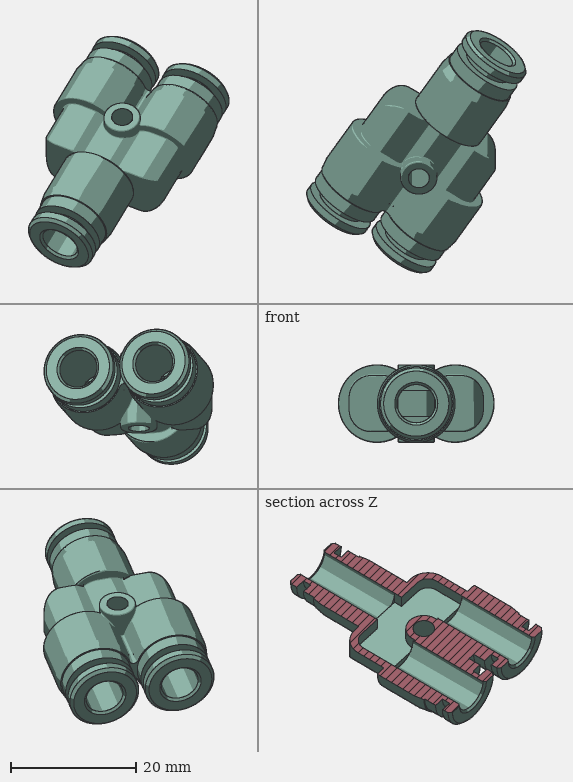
import cadquery as cq
import math

length = 38.2
port_pitch = 12.5
front_end = -length / 2
rear_end = length / 2

body_diameter = 12.4
taper_diameter = 11.85
collar_diameter = 11.42
neck_diameter = 7.9
bore_diameter = 6.1

flange_depth = 1.68
neck_depth = 3.05
collar_depth = 5.27
taper_depth = 6.95
body_depth = 14.7
flange_chamfer = 0.5
bore_chamfer = 0.4

lobe_size = 8.98
lobe_corner_radius = 3.5
plan_corner_radius = 3.5
block_front = front_end + body_depth
block_rear = rear_end - body_depth
block_width = port_pitch + lobe_size
groove_x = port_pitch / 4

boss_diameter = 5.8
boss_hole_diameter = 3.35
boss_depth = 15.05
boss_y = rear_end - boss_depth

web_radius = 0.42
web_end_radius = 0.73
chamber_height = 4.13
chamber_width = port_pitch + bore_diameter

edge_radius = 0.23
blend_radius = 0.2
groove_radius = 0.23
boss_root_radius = 0.15
taper_edge_radius = 0.75

margin = 0.05
plate_thickness = 0.4
plate_width = 2 * block_width
plate_height = 2 * lobe_size


def make_port():
    """Port turned about Y, open end at y = 0, running toward +Y."""
    collar_radius = collar_diameter / 2
    neck_radius = neck_diameter / 2
    body_radius = body_diameter / 2
    shoulder_edge = cq.selectors.BoxSelector(
        (-body_diameter, taper_depth - margin, -body_diameter),
        (body_diameter, taper_depth + margin, body_diameter),
        boundingbox=True,
    )
    return (
        cq.Workplane("XY")
        .lineTo(collar_radius - flange_chamfer, 0)
        .lineTo(collar_radius, flange_chamfer)
        .lineTo(collar_radius, flange_depth)
        .lineTo(neck_radius, flange_depth)
        .lineTo(neck_radius, neck_depth)
        .lineTo(collar_radius, neck_depth)
        .lineTo(collar_radius, collar_depth)
        .lineTo(taper_diameter / 2, collar_depth)
        .lineTo(body_radius, taper_depth)
        .lineTo(body_radius, body_depth)
        .lineTo(0, body_depth)
        .close()
        .revolve(360, (0, 0, 0), (0, 1, 0))
        .faces(">Y")
        .edges()
        .fillet(edge_radius)
        .edges(shoulder_edge)
        .fillet(taper_edge_radius)
    )


def make_bore():
    """Chamfered blind bore about Y, mouth at y = 0, running toward +Y."""
    bore_radius = bore_diameter / 2
    return (
        cq.Workplane("XY")
        .lineTo(bore_radius + bore_chamfer, 0)
        .lineTo(bore_radius, bore_chamfer)
        .lineTo(bore_radius, body_depth)
        .lineTo(0, body_depth)
        .close()
        .revolve(360, (0, 0, 0), (0, 1, 0))
    )


def place_at_ports(shape):
    """Copies of a port-shaped solid at the front port and both rear ports."""
    placed = shape.translate((0, front_end, 0))
    turned = shape.rotate((0, 0, 0), (0, 0, 1), 180)
    for side in (-1, 1):
        placed = placed.add(turned.translate((side * port_pitch / 2, rear_end, 0)))
    return placed.combine()


def span_box(width, y_start, y_end, height):
    """Box centred on X and Z between two Y stations."""
    return (
        cq.Workplane("XY")
        .box(width, y_end - y_start, height)
        .translate((0, (y_start + y_end) / 2, 0))
    )


def boss_cylinder(diameter):
    """Cylinder along Z at the boss, as tall as the port bodies."""
    return (
        cq.Workplane("XY")
        .center(0, boss_y)
        .circle(diameter / 2)
        .extrude(body_diameter / 2, both=True)
    )


def make_side_lobe(side):
    """Outer lobe with its outer front corner rounded in plan and its front edges softened."""
    outer_face = ">X" if side > 0 else "<X"
    lobe = span_box(lobe_size, block_front, block_rear, lobe_size)
    plan = lobe.edges("|Z and <Y").edges(outer_face).fillet(plan_corner_radius)
    lobe = lobe.edges("|Y").fillet(lobe_corner_radius).intersect(plan)
    lobe = lobe.faces("<Y").edges().fillet(edge_radius)
    return lobe.translate((side * port_pitch / 2, 0, 0))


def make_lobe_bar():
    """Three merged straight lobes with blended grooves, flared at both ends to meet the ports."""
    bar = cq.Workplane("XY")
    for side in (-1, 0, 1):
        lobe = span_box(lobe_size, block_front, block_rear, lobe_size)
        lobe = lobe.edges("|Y").fillet(lobe_corner_radius)
        bar = bar.union(lobe.translate((side * port_pitch / 2, 0, 0)))
    for side in (-1, 1):
        for level in (-1, 1):
            groove = cq.selectors.BoxSelector(
                (side * (groove_x - margin), block_front - margin, 0),
                (side * (groove_x + margin), block_rear + margin, level * lobe_size),
            )
            bar = bar.edges("|Y").edges(groove).fillet(groove_radius)

    for start, end in (
        (block_front - plate_thickness, block_front),
        (block_rear, block_rear + plate_thickness),
    ):
        bar = bar.union(span_box(plate_width, start, end, plate_height))
    roots = cq.selectors.BoxSelector(
        (-block_width / 2 - margin, block_front - margin, -lobe_size / 2 - margin),
        (block_width / 2 + margin, block_rear + margin, lobe_size / 2 + margin),
        boundingbox=True,
    )
    bar = bar.edges(roots).edges("not |Y").fillet(blend_radius)
    return bar.intersect(span_box(plate_width, block_front, block_rear, plate_height))


def make_block():
    """Lobe bar trimmed to the softened outer lobes, keeping its center and its rear flare."""
    center_width = 2 * (groove_x + groove_radius)
    envelope = span_box(center_width, block_front, block_rear, plate_height)
    rear_flare = span_box(plate_width, block_rear - blend_radius, block_rear, plate_height)
    envelope = envelope.union(rear_flare)
    for side in (-1, 1):
        envelope = envelope.union(make_side_lobe(side))
    return make_lobe_bar().intersect(envelope)


def web_section(y, port_radius, radius):
    """Web section at a Y station: a strip hollowed above and below by arcs touching both ports."""
    half_pitch = port_pitch / 2
    reach = port_radius + radius
    arc_height = math.sqrt(reach**2 - half_pitch**2)
    half_width = half_pitch * radius / reach
    edge_height = arc_height * port_radius / reach
    valley_height = arc_height - radius
    return (
        cq.Workplane("XZ", origin=(0, y, 0))
        .moveTo(-half_width, edge_height)
        .threePointArc((0, valley_height), (half_width, edge_height))
        .lineTo(half_width, -edge_height)
        .threePointArc((0, -valley_height), (-half_width, -edge_height))
        .close()
        .wire()
        .val()
    )


def make_web():
    """Concave web between the rear ports, widening along their tapers."""
    taper_y = rear_end - taper_depth
    at_block = web_section(block_rear, body_diameter / 2, web_radius)
    at_taper = web_section(taper_y, body_diameter / 2, web_radius)
    at_end = web_section(rear_end - collar_depth, taper_diameter / 2, web_end_radius)
    straight = cq.Solid.makeLoft([at_block, at_taper], True)
    widening = cq.Solid.makeLoft([at_taper, at_end], True)
    return cq.Workplane(straight).union(cq.Workplane(widening))


def add_boss(body):
    """Body with the boss joined on and blended into it above and below."""
    boss = boss_cylinder(boss_diameter).faces("<Z or >Z").edges().fillet(edge_radius)
    body = body.union(boss)
    reach = boss_diameter / 2 + margin
    root_limit = body_diameter / 2 - edge_radius - margin
    for level in (-1, 1):
        roots = cq.selectors.BoxSelector(
            (-reach, boss_y - reach, 0),
            (reach, boss_y + reach, level * root_limit),
            boundingbox=True,
        )
        body = body.edges(roots).fillet(boss_root_radius)
    return body


body = make_block().union(place_at_ports(make_port())).union(make_web())
body = add_boss(body)

wall = (lobe_size - bore_diameter) / 2
chamber = (
    span_box(chamber_width, block_front + wall, block_rear, chamber_height)
    .edges("|Z and <Y")
    .fillet(plan_corner_radius - wall)
)
inlet = span_box(bore_diameter, block_front, block_rear, chamber_height)

passages = place_at_ports(make_bore()).union(chamber).union(inlet).cut(boss_cylinder(boss_diameter))

result = body.cut(passages).cut(boss_cylinder(boss_hole_diameter))